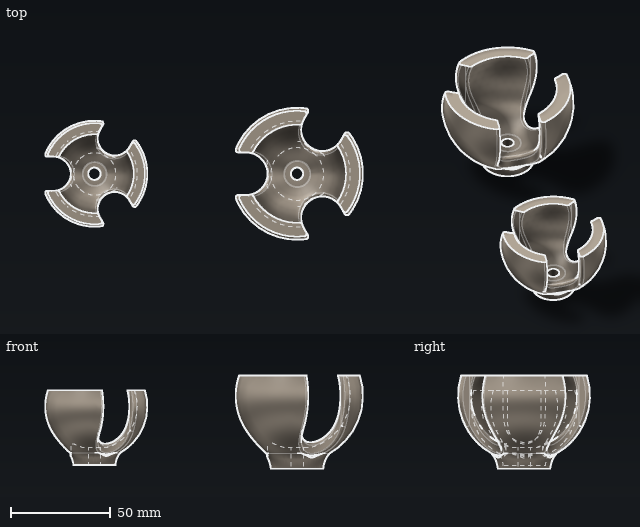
import cadquery as cq
import math

OUTER_RADIUS = 33.3
INNER_RADIUS = 26.7
CENTER_HEIGHT = 36.8
CUP_HEIGHT = 47.0
FOOT_RADIUS = 13.3
FOOT_WAIST_RADIUS = 14.0
FOOT_WAIST_HEIGHT = 4.0
FOOT_TOP_HEIGHT = 7.8
SLOT_WIDTH = 21.3
SLOT_END_RADIUS = 14.9
EDGE_ROUND = 1.5
FOOT_BEVEL = 1.3
SLOT_COUNT = 3
SLOT_START_ANGLE = 60

TOLERANCE = 0.02

SMALL_SCALE = 0.803
BORE_DIAMETER = 6.0
LARGE_FLOOR_DIAMETER = 13.1
SMALL_FLOOR_DIAMETER = 12.0

CUP_SPACING = 101.9
SMALL_CUP_LIFT = 1.9


def sphere_offset(radius, distance):
    """Distance along the axis at which a sphere has the given radius from it."""
    return math.sqrt(radius**2 - distance**2)


FOOT_TOP_RADIUS = sphere_offset(OUTER_RADIUS, CENTER_HEIGHT - FOOT_TOP_HEIGHT)


def make_bowl(scale):
    """Solid sphere with a flat rim, not yet hollowed."""
    outer = OUTER_RADIUS * scale
    center = CENTER_HEIGHT * scale
    top = CUP_HEIGHT * scale
    return (
        cq.Workplane("XZ")
        .moveTo(0, center - outer)
        .threePointArc((outer, center), (sphere_offset(outer, top - center), top))
        .lineTo(0, top)
        .close()
        .revolve(360, (0, 0, 0), (0, 1, 0))
    )


def make_foot(scale):
    """Concave foot that flares up to the outer sphere."""
    foot_top = FOOT_TOP_HEIGHT * scale
    top_radius = FOOT_TOP_RADIUS * scale
    return (
        cq.Workplane("XZ")
        .lineTo(FOOT_RADIUS * scale, 0)
        .threePointArc(
            (FOOT_WAIST_RADIUS * scale, FOOT_WAIST_HEIGHT * scale),
            (top_radius, foot_top),
        )
        .lineTo(0, foot_top)
        .close()
        .revolve(360, (0, 0, 0), (0, 1, 0))
    )


def make_cavity(scale, floor_diameter):
    """Inner sphere cut off by a flat round floor."""
    inner = INNER_RADIUS * scale
    center = CENTER_HEIGHT * scale
    floor_radius = floor_diameter / 2
    floor_height = center - sphere_offset(inner, floor_radius)
    return (
        cq.Workplane("XZ")
        .moveTo(0, floor_height)
        .lineTo(floor_radius, floor_height)
        .threePointArc((inner, center), (0, center + inner))
        .close()
        .revolve(360, (0, 0, 0), (0, 1, 0))
    )


def make_slot(scale, angle):
    """Upright round-ended slot running outward from the cup wall."""
    width = SLOT_WIDTH * scale
    round_center = SLOT_END_RADIUS * scale + width / 2
    length = OUTER_RADIUS * scale
    height = CUP_HEIGHT * scale
    round_end = cq.Workplane("XY").center(round_center, 0).circle(width / 2).extrude(height)
    channel = (
        cq.Workplane("XY")
        .center(round_center, 0)
        .rect(length, width)
        .extrude(height)
        .translate((length / 2, 0, 0))
    )
    return round_end.union(channel).rotate((0, 0, 0), (0, 0, 1), angle)


def cut_slots(body, scale):
    for index in range(SLOT_COUNT):
        angle = SLOT_START_ANGLE + index * 360 / SLOT_COUNT
        body = body.cut(make_slot(scale, angle))
    return body


def round_slot_edges(body, radius, scale):
    """Round the edges where the slots break through a sphere of the given radius."""
    center = cq.Vector(0, 0, CENTER_HEIGHT * scale)
    top = CUP_HEIGHT * scale
    edges = []
    for edge in body.edges().vals():
        middle = edge.positionAt(0.5)
        on_sphere = abs((middle - center).Length - radius * scale) < TOLERANCE
        below_top = middle.z < top - TOLERANCE
        off_seam = abs(middle.y) > TOLERANCE or middle.x < 0
        above_foot = middle.z > FOOT_TOP_HEIGHT * scale + TOLERANCE
        if on_sphere and below_top and off_seam and above_foot:
            edges.append(edge)
    return body.newObject(edges).fillet(EDGE_ROUND * scale)


def make_slotted_foot(scale):
    """Foot cut by the slots, its top beveled there to stay under the bowl's rounding."""
    foot = cut_slots(make_foot(scale), scale)
    top_radius = FOOT_TOP_RADIUS * scale
    edges = []
    for edge in foot.faces(">Z").edges().vals():
        middle = edge.positionAt(0.5)
        if math.hypot(middle.x, middle.y) < top_radius - TOLERANCE:
            edges.append(edge)
    return foot.newObject(edges).chamfer(FOOT_BEVEL * scale)


def make_cup(scale, floor_diameter):
    bowl = round_slot_edges(cut_slots(make_bowl(scale), scale), OUTER_RADIUS, scale)
    cup = bowl.union(make_slotted_foot(scale))
    cup = cup.cut(make_cavity(scale, floor_diameter))
    cup = round_slot_edges(cup, INNER_RADIUS, scale)
    bore = cq.Workplane("XY").circle(BORE_DIAMETER / 2).extrude(CENTER_HEIGHT * scale)
    return cup.cut(bore)


large_cup = make_cup(1, LARGE_FLOOR_DIAMETER).translate((CUP_SPACING, 0, 0))
small_cup = make_cup(SMALL_SCALE, SMALL_FLOOR_DIAMETER).translate((0, 0, SMALL_CUP_LIFT))
result = cq.Compound.makeCompound([small_cup.val(), large_cup.val()])